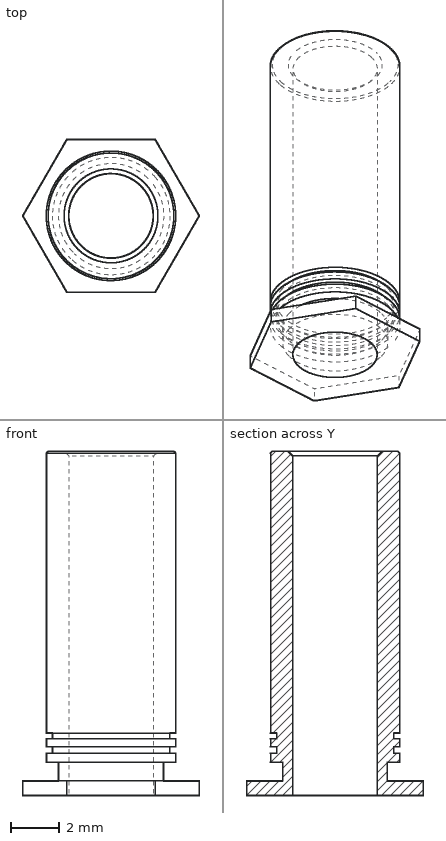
import cadquery as cq
import math

total_height = 14.29
hex_across_flats = 6.35
hex_sides = 6
hex_across_corners = hex_across_flats / math.cos(math.pi / hex_sides)

barrel_diameter = 5.38
groove_diameter = 4.88
neck_diameter = 4.37
bore_diameter = 3.5

head_height = 0.61
lower_ring_bottom = 1.38
lower_groove_bottom = 1.76
lower_groove_top = 2.02
upper_groove_bottom = 2.36
upper_groove_top = 2.59

rim_chamfer = 0.08
bore_chamfer = 0.2


def cylinder(diameter, bottom, top):
    """Upright cylinder on the part axis between two heights."""
    return cq.Workplane("XY").workplane(offset=bottom).circle(diameter / 2).extrude(top - bottom)


def make_head():
    """Hexagonal head with corners on the X axis and flats facing Y."""
    return cq.Workplane("XY").polygon(hex_sides, hex_across_corners).extrude(head_height)


def make_barrel():
    """Barrel above the neck, with a chamfered top rim and two square grooves."""
    barrel = cylinder(barrel_diameter, lower_ring_bottom, total_height)
    barrel = barrel.faces(">Z").edges().chamfer(rim_chamfer)
    grooves = [
        (lower_groove_bottom, lower_groove_top),
        (upper_groove_bottom, upper_groove_top),
    ]
    for bottom, top in grooves:
        groove = cylinder(barrel_diameter, bottom, top).cut(cylinder(groove_diameter, bottom, top))
        barrel = barrel.cut(groove)
    return barrel


def make_bore():
    """Through bore with a 45 degree countersink at the top end."""
    bore = cylinder(bore_diameter, 0, total_height)
    countersink = (
        cq.Workplane("XY")
        .workplane(offset=total_height - bore_chamfer)
        .circle(bore_diameter / 2)
        .workplane(offset=bore_chamfer)
        .circle(bore_diameter / 2 + bore_chamfer)
        .loft(ruled=True)
    )
    return bore.union(countersink)


neck = cylinder(neck_diameter, head_height, lower_ring_bottom)
result = make_head().union(neck).union(make_barrel()).cut(make_bore())